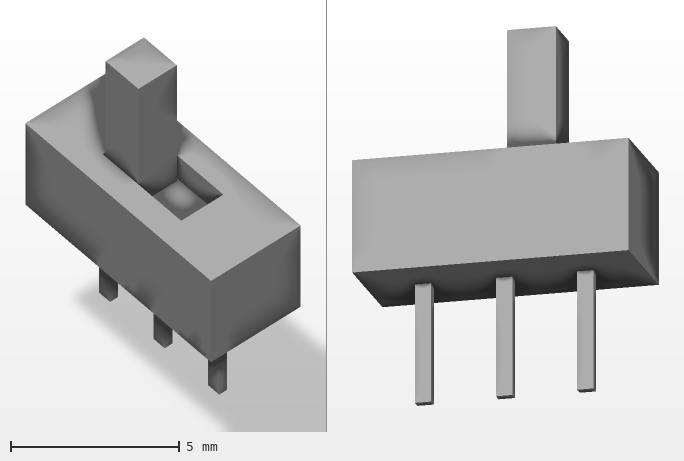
import cadquery as cq

body_length = 8.5
body_width = 3.5
body_height = 3.5

lever_side = 1.5
lever_rise = 4.0
lever_offset = 1.0

end_gap = 0.05
side_gap = 0.075
slot_depth = 1.0
slot_length = lever_side + 2 * (lever_offset + end_gap)
slot_width = lever_side + 2 * side_gap

pin_count = 3
pin_pitch = 2.5
pin_length = 3.7
pin_size_x = 0.5
pin_size_y = 0.3


def block(size_x, size_y, bottom, top, center_x=0):
    """Upright rectangular block between two heights, centred on Y = 0."""
    return (
        cq.Workplane("XY", origin=(center_x, 0, bottom))
        .rect(size_x, size_y)
        .extrude(top - bottom)
    )


slot_floor = body_height - slot_depth
body = block(body_length, body_width, 0, body_height)
slot = block(slot_length, slot_width, slot_floor, body_height)
lever = block(lever_side, lever_side, slot_floor, body_height + lever_rise, -lever_offset)

result = body.cut(slot).union(lever)

for index in range(pin_count):
    pin_x = (index - (pin_count - 1) / 2) * pin_pitch
    result = result.union(block(pin_size_x, pin_size_y, -pin_length, 0, pin_x))